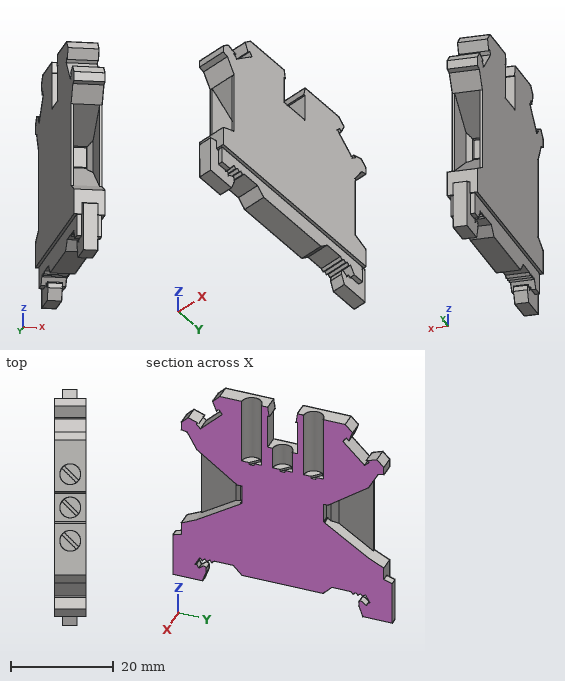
import cadquery as cq


body_width = 6.15
height = 44.25
body_half_length = 21.2
waist_half_length = 18.0
body_bottom = 7.6
shoulder_z = 12.58
waist_bottom = 14.15
waist_top = 30.52

slot_half_width = 3.08
slot_floor = 34.9
lip_projection = 0.3
lip_bottom = 42.05

rail_width = 4.9
rail_half_length = 20.85
rail_bottom = 3.35
rail_ceiling = 5.25
pad_half_length = 8.5
pad_root = 10.35
tooth_start = 14.27
tooth_count = 3
tooth_pitch = 1.0
tooth_depth = 0.5
claw_bottom = 18.4

half_length = 22.95
foot_width = 2.85
groove_width = 3.05
foot_center_x = (foot_width - groove_width) / 2
foot_top = 9.35
foot_cap = 9.9
foot_root = 18.6
hook_tip = 15.95

hole_radius = 2.0
hole_spacing = 6.45
screw_head_z = 30.3
driver_slot_width = 0.65
driver_slot_depth = 0.45
driver_slot_angle = -45

funnel_width = 5.15
throat_width = 3.25
throat_start = 10.8
throat_end = 9.5
funnel_back = 8.6
funnel_floor_inner_y = 8.8
funnel_floor_end = 20.1
funnel_step_top = 20.3
funnel_ceiling_end = 24.3


def prism(points, width):
    """Extrude a closed (y, z) outline along X, centred on X = 0."""
    sketch = cq.Workplane("YZ").polyline(points).close()
    return sketch.extrude(width / 2, both=True)


def mirrored_outline(half):
    """Complete a closed outline from the points of its +Y half."""
    return half + [(-y, z) for y, z in reversed(half)]


def both_ends(solid):
    """Join a +Y feature with its mirror image at the -Y end."""
    return solid.union(solid.mirror("XZ"))


def make_housing():
    half = [
        (slot_half_width, slot_floor),
        (slot_half_width, lip_bottom),
        (slot_half_width - lip_projection, lip_bottom),
        (slot_half_width, height),
        (13.15, height),
        (14.7, 42.65),
        (13.85, 40.5),
        (13.35, 41.0),
        (12.65, 40.1),
        (17.15, 35.65),
        (18.05, 36.5),
        (17.5, 36.8),
        (19.75, 37.65),
        (body_half_length, 36.15),
        (body_half_length, 34.4),
        (19.95, 34.05),
        (waist_half_length, waist_top),
        (waist_half_length, waist_bottom),
        (body_half_length, shoulder_z),
        (body_half_length, body_bottom),
    ]
    return prism(mirrored_outline(half), body_width)


def make_rail_seat():
    half = [
        (pad_half_length, rail_bottom),
        (pad_root, rail_ceiling),
        (tooth_start, rail_ceiling),
    ]
    for i in range(tooth_count):
        root = tooth_start + i * tooth_pitch
        half.append((root + tooth_pitch / 2, rail_ceiling - tooth_depth))
        half.append((root + tooth_pitch, rail_ceiling))
    half += [
        (claw_bottom, rail_bottom),
        (rail_half_length, rail_bottom),
        (rail_half_length, body_bottom),
    ]
    seat = prism(mirrored_outline(half), rail_width)
    groove = (
        cq.Workplane("XY", origin=(0, foot_root, rail_bottom))
        .box(groove_width, half_length - foot_root, body_bottom - rail_bottom, centered=(True, False, False))
    )
    return seat.cut(both_ends(groove))


def make_feet():
    outline = (
        cq.Workplane("YZ")
        .moveTo(half_length, 0)
        .lineTo(half_length, foot_top)
        .lineTo(body_half_length, foot_cap)
        .lineTo(foot_root, foot_cap)
        .lineTo(foot_root, rail_bottom)
        .lineTo(17.95, 3.75)
        .lineTo(17.55, 2.9)
        .lineTo(16.7, 3.55)
        .threePointArc((16.3, 3.63), (hook_tip, 3.3))
        .lineTo(hook_tip, 2.35)
        .lineTo(16.75, 0)
        .close()
    )
    foot = outline.extrude(foot_width / 2, both=True).translate((foot_center_x, 0, 0))
    return both_ends(foot)


def make_screw_holes():
    """Tool for three holes whose floors are slotted screw heads."""
    centers = [(0, -hole_spacing), (0, 0), (0, hole_spacing)]
    holes = (
        cq.Workplane("XY", origin=(0, 0, screw_head_z))
        .pushPoints(centers)
        .circle(hole_radius)
        .extrude(height - screw_head_z)
    )
    for x, y in centers:
        socket = cq.Workplane("XY").circle(hole_radius).extrude(-driver_slot_depth)
        blade = (
            cq.Workplane("XY")
            .rect(2 * hole_radius, driver_slot_width)
            .extrude(-driver_slot_depth)
            .rotate((0, 0, 0), (0, 0, 1), driver_slot_angle)
        )
        holes = holes.union(socket.intersect(blade).translate((x, y, screw_head_z)))
    return holes


def make_wire_funnels():
    """Tool for the funnels: a side profile limited by a narrowing plan outline."""
    side = [
        (waist_half_length, waist_bottom),
        (waist_half_length, waist_top),
        (throat_end, funnel_ceiling_end),
        (funnel_back, funnel_ceiling_end),
        (funnel_back, funnel_step_top),
        (funnel_floor_inner_y, funnel_step_top),
        (funnel_floor_inner_y, funnel_floor_end),
    ]
    plan_half = [
        (funnel_width / 2, waist_half_length),
        (funnel_width / 2, throat_start),
        (throat_width / 2, throat_end),
        (throat_width / 2, funnel_back),
    ]
    plan = plan_half + [(-x, y) for x, y in reversed(plan_half)]
    plan_prism = cq.Workplane("XY").polyline(plan).close().extrude(height)
    return both_ends(prism(side, body_width).intersect(plan_prism))


housing = make_housing().cut(make_wire_funnels()).cut(make_screw_holes())
result = housing.union(make_rail_seat()).union(make_feet())